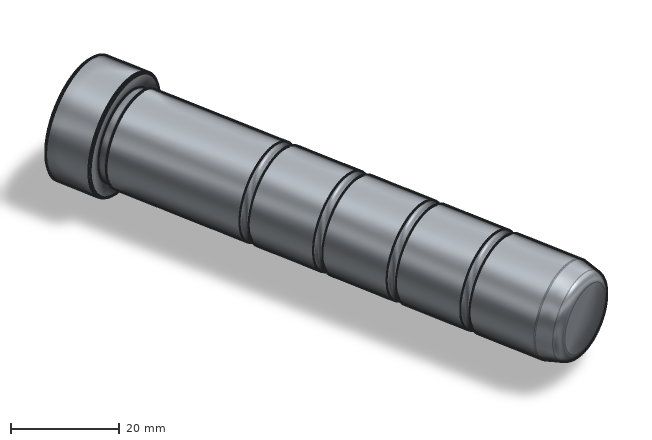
import cadquery as cq
import math

total_length = 110.0
head_diameter = 25.0
head_length = 10.0
head_face_chamfer = 0.5
head_shoulder_chamfer = 0.3

shaft_diameter = 20.0
neck_depth = 0.5
neck_length = 2.0

groove_count = 4
groove_start = 41.0
groove_pitch = 16.0
groove_width = 2.0
groove_depth = 0.6

tip_length = 5.0
taper_angle = math.radians(15.0)
taper_blend_radius = 1.0
tip_radius = 2.0

center_drill_diameter = 2.5
center_drill_depth = 5.0
center_sink_diameter = 4.25
center_sink_half_angle = math.radians(30.0)
drill_point_half_angle = math.radians(60.0)

head_radius = head_diameter / 2
shaft_radius = shaft_diameter / 2


def revolve_about_axis(profile):
    """Full turn of a closed XY profile about the pin axis."""
    return profile.revolve(360, (0, 0, 0), (1, 0, 0))


def point_on_arc(center_x, center_radius, arc_radius, angle):
    """Point at the given angle from the outward radial direction, towards the tip."""
    return (
        center_x + arc_radius * math.sin(angle),
        center_radius + arc_radius * math.cos(angle),
    )


def make_body():
    """Headed pin with an undercut neck and a tapered, rounded tip."""
    neck_radius = shaft_radius - neck_depth
    neck_end = head_length + neck_length

    fillet_start = neck_end - neck_depth
    fillet_center = (fillet_start, shaft_radius)
    fillet_middle = point_on_arc(*fillet_center, neck_depth, math.radians(135))

    blend_start = total_length - tip_length
    blend_center = (blend_start, shaft_radius - taper_blend_radius)
    blend_middle = point_on_arc(*blend_center, taper_blend_radius, taper_angle / 2)
    taper_start = point_on_arc(*blend_center, taper_blend_radius, taper_angle)

    tip_center_x = total_length - tip_radius
    taper_end_x = tip_center_x + tip_radius * math.sin(taper_angle)
    taper_end_radius = taper_start[1] - (taper_end_x - taper_start[0]) * math.tan(taper_angle)
    tip_center_radius = taper_end_radius - tip_radius * math.cos(taper_angle)
    tip_middle_angle = (taper_angle + math.pi / 2) / 2
    tip_middle = point_on_arc(tip_center_x, tip_center_radius, tip_radius, tip_middle_angle)

    profile = (
        cq.Workplane("XY")
        .moveTo(0, 0)
        .lineTo(0, head_radius - head_face_chamfer)
        .lineTo(head_face_chamfer, head_radius)
        .lineTo(head_length - head_shoulder_chamfer, head_radius)
        .lineTo(head_length, head_radius - head_shoulder_chamfer)
        .lineTo(head_length, neck_radius)
        .lineTo(fillet_start, neck_radius)
        .threePointArc(fillet_middle, (neck_end, shaft_radius))
        .lineTo(blend_start, shaft_radius)
        .threePointArc(blend_middle, taper_start)
        .lineTo(taper_end_x, taper_end_radius)
        .threePointArc(tip_middle, (total_length, tip_center_radius))
        .lineTo(total_length, 0)
        .close()
    )
    return revolve_about_axis(profile)


def make_groove(start):
    """Ring cutter for one round-bottomed lubrication groove."""
    end = start + groove_width
    bottom = (start + groove_width / 2, shaft_radius - groove_depth)
    profile = (
        cq.Workplane("XY")
        .moveTo(start, head_radius)
        .lineTo(start, shaft_radius)
        .threePointArc(bottom, (end, shaft_radius))
        .lineTo(end, head_radius)
        .close()
    )
    return revolve_about_axis(profile)


def make_center_hole():
    """Countersunk centre hole with a conical drill point."""
    drill_radius = center_drill_diameter / 2
    sink_radius = center_sink_diameter / 2
    sink_depth = (sink_radius - drill_radius) / math.tan(center_sink_half_angle)
    point_length = drill_radius / math.tan(drill_point_half_angle)
    profile = (
        cq.Workplane("XY")
        .moveTo(0, 0)
        .lineTo(0, sink_radius)
        .lineTo(sink_depth, drill_radius)
        .lineTo(center_drill_depth, drill_radius)
        .lineTo(center_drill_depth + point_length, 0)
        .close()
    )
    return revolve_about_axis(profile)


result = make_body().cut(make_center_hole())
for index in range(groove_count):
    result = result.cut(make_groove(groove_start + index * groove_pitch))